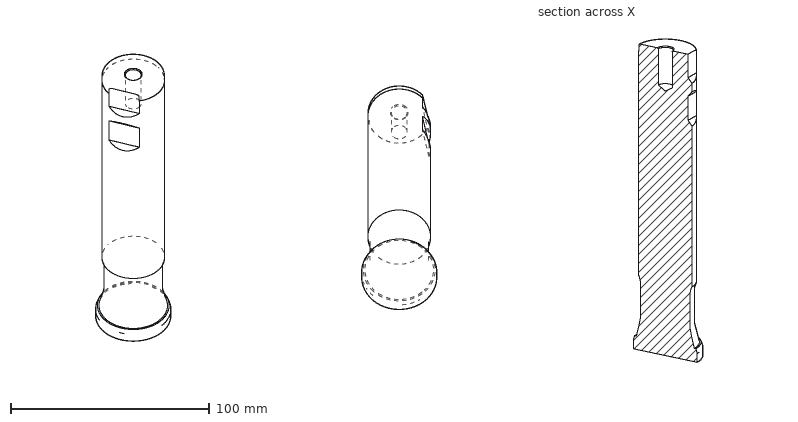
import cadquery as cq
import math

total_length = 165.1
head_radius = 38.1 / 2

shank_radius = 31.75 / 2
neck_radius = 29.6 / 2
shank_bottom = 40.2
neck_blend_radius = 10.0

flare_top = 17.7
flare_bottom = 7.4
flare_bottom_radius = 17.3
head_shoulder_radius = 18.1
head_bevel_radius = 18.5
head_bevel_height = 6.7
head_side_top = 5.0
head_bottom_round = 0.4

lead_in_radius = 15.8
tip_round = 1.1
lead_in_length = 4.0

flat_distance = 13.6
ramp_angle = 40.0
upper_flat_end_depth = 12.6
lower_flat_start_depth = 22.6
lower_flat_end_depth = 35.6

hole_radius = 8.0 / 2
hole_depth = 20.0
hole_chamfer = 0.5
drill_point_angle = 118.0


def arc_sag(radius, rise):
    """Sideways shift of an arc that starts tangent to the axis and rises along it."""
    return radius - math.sqrt(radius**2 - rise**2)


def make_body():
    """Revolved stepped shaft, lower end at Z = 0."""
    blend_step = shank_radius - neck_radius
    blend_height = math.sqrt(neck_blend_radius**2 - (neck_blend_radius - blend_step) ** 2)
    blend_bottom = shank_bottom - blend_height
    blend_middle_height = blend_height / 2
    blend_middle = neck_radius + arc_sag(neck_blend_radius, blend_middle_height)
    tip_middle = tip_round * (1 - math.sqrt(0.5))
    round_middle = head_bottom_round * (1 - math.sqrt(0.5))
    profile = (
        cq.Workplane("XZ")
        .moveTo(0, 0)
        .lineTo(head_radius - head_bottom_round, 0)
        .threePointArc((head_radius - round_middle, round_middle), (head_radius, head_bottom_round))
        .lineTo(head_radius, head_side_top)
        .lineTo(head_bevel_radius, head_bevel_height)
        .lineTo(head_shoulder_radius, flare_bottom)
        .lineTo(flare_bottom_radius, flare_bottom)
        .lineTo(neck_radius, flare_top)
        .lineTo(neck_radius, blend_bottom)
        .threePointArc((blend_middle, blend_bottom + blend_middle_height), (shank_radius, shank_bottom))
        .lineTo(shank_radius, total_length - lead_in_length)
        .lineTo(lead_in_radius, total_length - lead_in_length)
        .lineTo(lead_in_radius, total_length - tip_round)
        .threePointArc(
            (lead_in_radius - tip_middle, total_length - tip_middle),
            (lead_in_radius - tip_round, total_length),
        )
        .lineTo(0, total_length)
        .close()
    )
    return profile.revolve(360, (0, 0, 0), (0, 1, 0))


def make_flat_cutter(start_depth, end_depth, start_is_open):
    """Cutter for one flat between two depths below the upper end; closed ends ramp outwards."""
    outer = head_radius
    ramp = (outer - flat_distance) / math.tan(math.radians(ramp_angle))
    top = total_length - start_depth
    bottom = total_length - end_depth
    outer_top = top if start_is_open else top + ramp
    return (
        cq.Workplane("YZ")
        .moveTo(-flat_distance, bottom)
        .lineTo(-flat_distance, top)
        .lineTo(-outer, outer_top)
        .lineTo(-outer, bottom - ramp)
        .close()
        .extrude(shank_radius, both=True)
    )


def make_hole():
    """Blind drilled hole with a chamfered mouth and a conical bottom."""
    point_length = hole_radius / math.tan(math.radians(drill_point_angle / 2))
    floor = total_length - hole_depth
    return (
        cq.Workplane("XZ")
        .moveTo(0, total_length)
        .lineTo(hole_radius + hole_chamfer, total_length)
        .lineTo(hole_radius, total_length - hole_chamfer)
        .lineTo(hole_radius, floor)
        .lineTo(0, floor - point_length)
        .close()
        .revolve(360, (0, 0, 0), (0, 1, 0))
    )


upper_flat = make_flat_cutter(0, upper_flat_end_depth, start_is_open=True)
lower_flat = make_flat_cutter(lower_flat_start_depth, lower_flat_end_depth, start_is_open=False)
result = make_body().cut(upper_flat).cut(lower_flat).cut(make_hole())